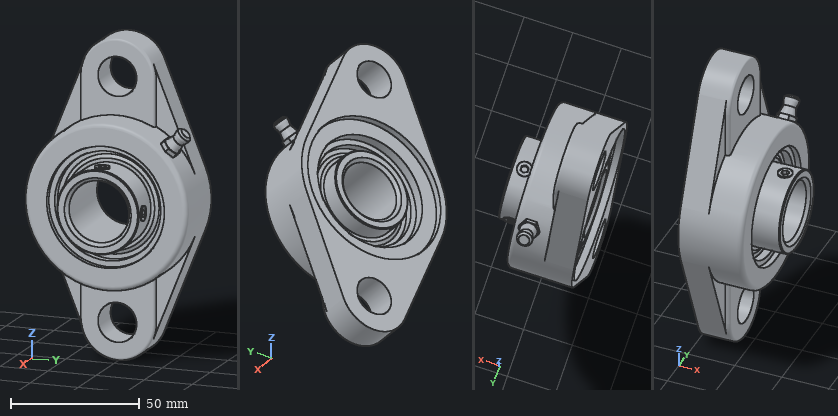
import cadquery as cq
import math

overall_height = 130.0
hub_radius = 34.0
lobe_radius = 15.5
lobe_offset = overall_height / 2 - lobe_radius
flange_thickness = 12.0
pad_height = 14.0
pad_fillet = 1.2
bolt_hole_diameter = 16.0

hub_height = 27.0
hub_fillet = 2.1
recess_diameter = 62.3
recess_depth = 3.0
opening_radius = 49.0 / 2

bearing_center = 16.0
seat_radius = 26.0
ring_half_width = math.sqrt(seat_radius**2 - opening_radius**2)
ring_start = bearing_center - ring_half_width
ring_end = bearing_center + ring_half_width
ring_inner_radius = 22.1
seal_depth = 3.4
seal_base_radius = 20.2
seal_crown_radius = 18.6
seal_crown_height = 0.8
sleeve_start = 1.7
sleeve_end = 35.8
sleeve_radius = 34.0 / 2
sleeve_chamfer = 0.4
bore_radius = 25.0 / 2
bore_chamfer = 1.4

screw_diameter = 6.0
screw_center = 30.8
screw_head_radius = 17.3
screw_base_radius = 14.3
socket_diameter = 3.2
socket_depth = 1.8

nipple_center = 20.7
nipple_base_radius = 31.5
nipple_hex_end = 35.9
nipple_hex_diameter = 8.5
nipple_cone_radius = 3.5
nipple_neck_radius = 2.6
nipple_neck_end = 39.5
nipple_bead_radius = 3.1
nipple_bead_start = 41.7
nipple_bead_end = 42.9
nipple_tip_radius = 2.2
nipple_tip_end = 43.8


def revolve_about_x(points):
    """Revolve a closed outline of (x, radius) points about the X axis."""
    return cq.Workplane("XY").polyline(points).close().revolve(360, (0, 0, 0), (1, 0, 0))


def cylinder_along_x(radius, start, end):
    return cq.Workplane("YZ").workplane(offset=start).circle(radius).extrude(end - start)


def make_flange():
    """Plate outlined by the hub circle, two end lobes and their common tangents."""
    sine = (hub_radius - lobe_radius) / lobe_offset
    cosine = math.sqrt(1 - sine**2)
    hub_y = hub_radius * cosine
    hub_z = hub_radius * sine
    lobe_y = lobe_radius * cosine
    lobe_z = lobe_offset + lobe_radius * sine
    return (
        cq.Workplane("YZ")
        .moveTo(hub_y, -hub_z)
        .threePointArc((hub_radius, 0), (hub_y, hub_z))
        .lineTo(lobe_y, lobe_z)
        .threePointArc((0, overall_height / 2), (-lobe_y, lobe_z))
        .lineTo(-hub_y, hub_z)
        .threePointArc((-hub_radius, 0), (-hub_y, -hub_z))
        .lineTo(-lobe_y, -lobe_z)
        .threePointArc((0, -overall_height / 2), (lobe_y, -lobe_z))
        .close()
        .extrude(flange_thickness)
    )


def make_bolt_pads():
    """Raised band with round ends that carries both bolt holes."""
    return (
        cq.Workplane("YZ")
        .slot2D(overall_height, 2 * lobe_radius, 90)
        .extrude(pad_height)
        .faces(">X")
        .edges()
        .fillet(pad_fillet)
    )


def make_grease_nipple():
    """Hexagonal base, tapered neck and bevelled head, built along Z and then tilted."""
    base = (
        cq.Workplane("XY")
        .workplane(offset=nipple_base_radius)
        .polygon(6, nipple_hex_diameter)
        .extrude(nipple_hex_end - nipple_base_radius)
    )
    head = (
        cq.Workplane("XZ")
        .polyline([
            (0, nipple_base_radius),
            (nipple_cone_radius, nipple_base_radius),
            (nipple_cone_radius, nipple_hex_end),
            (nipple_neck_radius, nipple_neck_end),
            (nipple_bead_radius, nipple_bead_start),
            (nipple_bead_radius, nipple_bead_end),
            (nipple_tip_radius, nipple_tip_end),
            (0, nipple_tip_end),
        ])
        .close()
        .revolve(360, (0, 0, 0), (0, 1, 0))
    )
    nipple = base.union(head)
    return nipple.rotate((0, 0, 0), (1, 0, 0), -45).translate((nipple_center, 0, 0))


def make_seat_zone():
    """Spherical zone filled by the bearing's outer ring."""
    return (
        cq.Workplane("XY")
        .moveTo(ring_start, 0)
        .lineTo(ring_start, opening_radius)
        .threePointArc((bearing_center, seat_radius), (ring_end, opening_radius))
        .lineTo(ring_end, 0)
        .close()
        .revolve(360, (0, 0, 0), (1, 0, 0))
    )


def make_housing():
    hub = cylinder_along_x(hub_radius, 0, hub_height).faces(">X").edges().fillet(hub_fillet)
    body = make_flange().union(make_bolt_pads()).union(hub).union(make_grease_nipple())
    bolt_holes = (
        cq.Workplane("YZ")
        .pushPoints([(0, lobe_offset), (0, -lobe_offset)])
        .circle(bolt_hole_diameter / 2)
        .extrude(pad_height)
    )
    recess = cylinder_along_x(recess_diameter / 2, 0, recess_depth)
    opening = cylinder_along_x(opening_radius, 0, hub_height)
    return body.cut(bolt_holes).cut(recess).cut(opening).cut(make_seat_zone())


def make_seal_groove():
    """Ring-shaped recess in the -X end of the bearing, around a tapered seal."""
    floor = ring_start + seal_depth
    crown = floor - seal_crown_height
    return revolve_about_x([
        (ring_start, sleeve_radius),
        (crown, sleeve_radius),
        (crown, seal_crown_radius),
        (floor, seal_base_radius),
        (floor, ring_inner_radius),
        (ring_start, ring_inner_radius),
    ])


def make_set_screw():
    """Set screw pointing along +Z, with a hexagonal socket."""
    screw = (
        cq.Workplane("XY")
        .workplane(offset=screw_base_radius)
        .circle(screw_diameter / 2)
        .extrude(screw_head_radius - screw_base_radius)
    )
    socket = (
        cq.Workplane("XY")
        .workplane(offset=screw_head_radius - socket_depth)
        .polygon(6, socket_diameter)
        .extrude(socket_depth)
        .rotate((0, 0, 0), (0, 0, 1), 90)
    )
    return screw.translate((screw_center, 0, 0)), socket.translate((screw_center, 0, 0))


def make_insert():
    ring = make_seat_zone()
    groove = make_seal_groove()
    ring = ring.cut(groove).cut(groove.mirror("YZ", (bearing_center, 0, 0)))
    sleeve = cylinder_along_x(sleeve_radius, sleeve_start, sleeve_end)
    insert = ring.union(sleeve.faces("<X or >X").edges().chamfer(sleeve_chamfer))
    bore = revolve_about_x([
        (sleeve_start, 0),
        (sleeve_start, bore_radius + bore_chamfer),
        (sleeve_start + bore_chamfer, bore_radius),
        (sleeve_end - bore_chamfer, bore_radius),
        (sleeve_end, bore_radius + bore_chamfer),
        (sleeve_end, 0),
    ])
    insert = insert.cut(bore)
    screw, socket = make_set_screw()
    for angle in (0, -90):
        insert = insert.union(screw.rotate((0, 0, 0), (1, 0, 0), angle))
        insert = insert.cut(socket.rotate((0, 0, 0), (1, 0, 0), angle))
    return insert


housing = make_housing()
bearing_insert = make_insert()
result = cq.Compound.makeCompound([housing.val(), bearing_insert.val()])